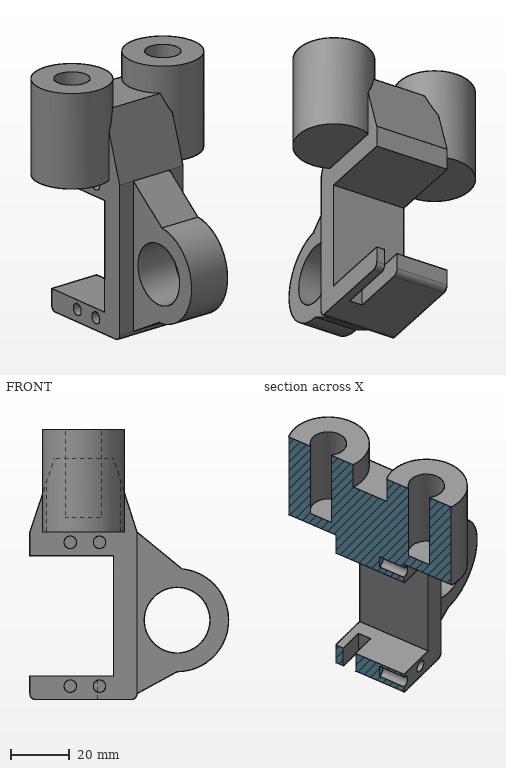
import cadquery as cq
import math

frame_length = 36.5
frame_width = 28.0
wall = 8.1
total_height = 92.0
bottom_radius = 2.0

sleeve_diameter = 28.0
sleeve_height = 35.0
sleeve_spacing = 40.0
sleeve_bore = 12.3
sleeve_bore_depth = 30.0
sleeve_x = frame_length / 2
shoulder_z = total_height - sleeve_height
head_z = 82.1
head_start_x = 8.4
head_end_x = 28.5

slot_width = 5.0
slot_length = 23.0
finger_thickness = 3.1
slot_center_y = frame_width / 2 - finger_thickness - slot_width / 2

cross_hole_diameter = 4.2
cross_hole_depth = 10.0
cross_hole_xs = (13.8, 23.7)
lower_hole_z = 4.6
upper_hole_drop = 3.5
upper_hole_z = shoulder_z - upper_hole_drop

arm_width = 15.9
ring_x = 50.1
ring_z = 27.05
ring_radius = 17.6
ring_bore = 22.3
upper_join_x = 51.8
upper_join_z = ring_z + math.sqrt(ring_radius**2 - (upper_join_x - ring_x) ** 2)


def make_frame_block():
    """C-shaped profile with the tapered head, extruded across the full width."""
    jaw_end_x = frame_length - wall
    profile = [
        (0, 0),
        (frame_length, 0),
        (frame_length, shoulder_z),
        (head_end_x, head_z),
        (head_start_x, head_z),
        (0, shoulder_z),
        (0, shoulder_z - wall),
        (jaw_end_x, shoulder_z - wall),
        (jaw_end_x, wall),
        (0, wall),
    ]
    block = cq.Workplane("XZ").polyline(profile).close().extrude(frame_width / 2, both=True)
    return block.faces("<Z").edges("|Y").fillet(bottom_radius)


def make_sleeve_cylinders(diameter, depth):
    """Pair of vertical cylinders reaching down from the top of the sleeves."""
    centers = [(sleeve_x, side * sleeve_spacing / 2) for side in (-1, 1)]
    top_plane = cq.Workplane("XY", origin=(0, 0, total_height))
    return top_plane.pushPoints(centers).circle(diameter / 2).extrude(-depth)


def make_slot():
    """Cutter for the slot through the lower jaw, open at its -X end."""
    return cq.Workplane("XY").center(slot_length / 2, slot_center_y).rect(slot_length, slot_width).extrude(wall)


def make_cross_holes():
    """Cutters for the two holes in each jaw."""
    centers = [(x, z) for x in cross_hole_xs for z in (lower_hole_z, upper_hole_z)]
    front_plane = cq.Workplane("XZ", origin=(0, -frame_width / 2, 0))
    return front_plane.pushPoints(centers).circle(cross_hole_diameter / 2).extrude(-cross_hole_depth)


def make_frame():
    """Frame and sleeves as one solid, with all their openings."""
    body = make_frame_block().union(make_sleeve_cylinders(sleeve_diameter, sleeve_height))
    body = body.cut(make_sleeve_cylinders(sleeve_bore, sleeve_bore_depth))
    return body.cut(make_slot()).cut(make_cross_holes())


def make_ring_arm():
    """Arm whose sloped edges run from the frame to the bored ring."""
    arm = (
        cq.Workplane("XZ")
        .moveTo(frame_length, bottom_radius)
        .lineTo(ring_x, ring_z - ring_radius)
        .threePointArc((ring_x + ring_radius, ring_z), (upper_join_x, upper_join_z))
        .lineTo(frame_length, shoulder_z)
        .close()
        .extrude(arm_width / 2, both=True)
    )
    bore = cq.Workplane("XZ").center(ring_x, ring_z).circle(ring_bore / 2).extrude(arm_width / 2, both=True)
    return arm.cut(bore)


frame = make_frame()
ring_arm = make_ring_arm()
result = cq.Compound.makeCompound([frame.val(), ring_arm.val()])